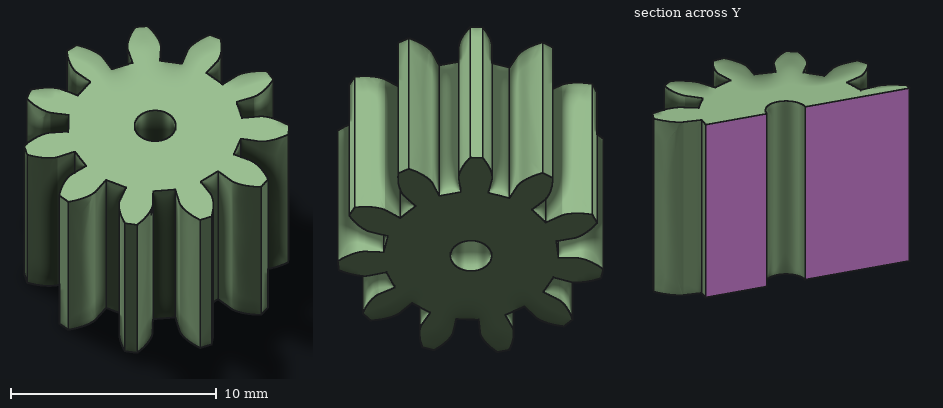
import cadquery as cq
import math

size_y = 12.94
face_width = 9.38
bore_diameter = 2.0

tooth_count = 11
pressure_angle = math.radians(20)
addendum = 1.0
dedendum = 1.25


def involute(angle):
    """Polar angle swept by an involute at the given pressure angle."""
    return math.tan(angle) - angle


pitch_radius_in_modules = tooth_count / 2
tip_radius_in_modules = pitch_radius_in_modules + addendum
base_radius_in_modules = pitch_radius_in_modules * math.cos(pressure_angle)
tip_pressure_angle = math.acos(base_radius_in_modules / tip_radius_in_modules)

tooth_pitch_angle = 2 * math.pi / tooth_count
base_half_angle = tooth_pitch_angle / 4 + involute(pressure_angle)
tip_half_angle = base_half_angle - involute(tip_pressure_angle)

top_tooth_index = math.ceil(tooth_count / 4)
top_corner_angle = top_tooth_index * tooth_pitch_angle - tip_half_angle
tip_radius = size_y / 2 / math.sin(top_corner_angle)

module = tip_radius / tip_radius_in_modules
base_radius = module * base_radius_in_modules
root_radius = module * (pitch_radius_in_modules - dedendum)

points_per_flank = 9


def polar(radius, angle):
    return (radius * math.cos(angle), radius * math.sin(angle))


def involute_flank(tooth_angle, side):
    """Points from base circle to tip; side is -1 for the clockwise flank, +1 for the other."""
    last_roll = math.tan(tip_pressure_angle)
    points = []
    for step in range(points_per_flank):
        roll = last_roll * step / (points_per_flank - 1)
        radius = base_radius * math.sqrt(1 + roll**2)
        half_angle = base_half_angle - (roll - math.atan(roll))
        points.append(polar(radius, tooth_angle + side * half_angle))
    return points


def gear_outline():
    """Teeth with radial lower flanks, involute upper flanks, flat tips and flat roots."""
    outline = cq.Workplane("XY").moveTo(*polar(root_radius, -base_half_angle))
    for tooth in range(tooth_count):
        tooth_angle = tooth * tooth_pitch_angle
        rising = involute_flank(tooth_angle, -1)
        falling = involute_flank(tooth_angle, 1)[::-1]
        next_root_angle = tooth_angle + tooth_pitch_angle - base_half_angle

        outline = outline.lineTo(*rising[0])
        outline = outline.spline(rising[1:], includeCurrent=True)
        outline = outline.lineTo(*falling[0])
        outline = outline.spline(falling[1:], includeCurrent=True)
        outline = outline.lineTo(*polar(root_radius, tooth_angle + base_half_angle))
        if tooth < tooth_count - 1:
            outline = outline.lineTo(*polar(root_radius, next_root_angle))
    return outline.close()


gear_blank = gear_outline().extrude(face_width)
bore = cq.Workplane("XY").circle(bore_diameter / 2).extrude(face_width)
result = gear_blank.cut(bore)